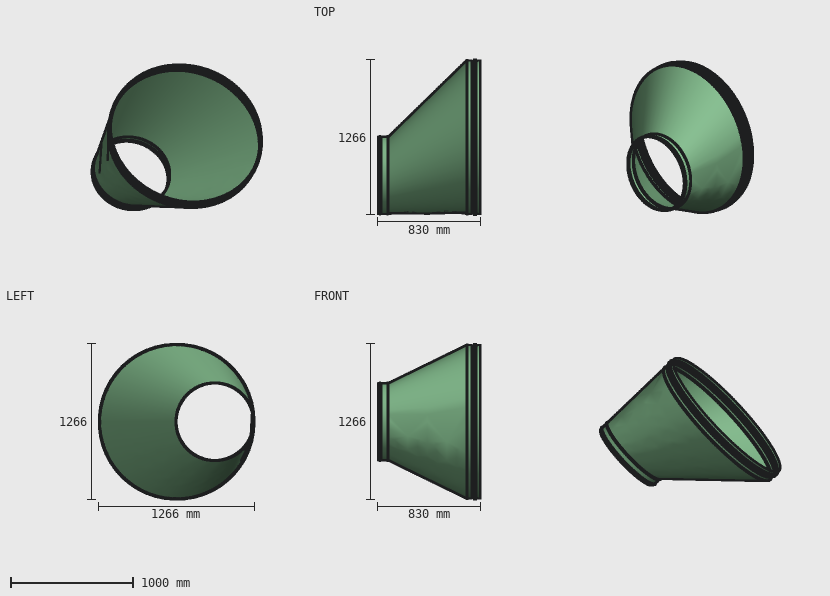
import cadquery as cq

LENGTH = 830.0
SHEET = 0.8
SMALL_RADIUS = 629.0 / 2
LARGE_RADIUS = 1249.0 / 2
LARGE_AXIS_Y = 0.0
SMALL_AXIS_Y = LARGE_AXIS_Y - (LARGE_RADIUS - SMALL_RADIUS)

CONE_START = 84.0
CONE_END = 719.0

SMALL_BEAD_START = 75.0
SMALL_BEAD_WIDTH = 1.9
SMALL_BEAD_RADIUS = 639.0 / 2
LARGE_BEAD_START = 723.0
LARGE_BEAD_WIDTH = 5.0
LARGE_BEAD_RADIUS = 1257.0 / 2

SMALL_SEAT_RADIUS = 624.0 / 2
SMALL_SEAT_END = 23.0
SMALL_STEP_LENGTH = 4.0
END_RING_START = 3.0
END_RING_WIDTH = 9.0
END_RING_ROUNDING = 1.9
SMALL_SEAL_WIDTH = 5.0
SMALL_SEAL_RADIUS = 625.0 / 2
SMALL_LIP_RADIUS = 639.0 / 2
SMALL_LIP_START = 14.0

LARGE_GROOVE_RADIUS = 1237.0 / 2
LARGE_GROOVE_START = 760.0
LARGE_GROOVE_END = 801.0
LARGE_STEP_LENGTH = 3.0
LARGE_SEAL_START = 775.0
LARGE_SEAL_WIDTH = 24.0
LARGE_SEAL_RADIUS = 1239.0 / 2
LARGE_LIP_RADIUS = 633.0
LARGE_LIP_STARTS = (777.0, 795.0)
LIP_WIDTH = 1.9


def revolved_ring(profile, axis_y):
    """Turn a closed profile of (x, radius) points about the X-parallel axis at axis_y."""
    points = [(x, axis_y - radius) for x, radius in profile]
    return cq.Workplane("XY").polyline(points).close().revolve(360, (0, axis_y), (1, axis_y))


def tube(start, width, inner_radius, outer_radius, axis_y):
    end = start + width
    profile = [(start, inner_radius), (end, inner_radius), (end, outer_radius), (start, outer_radius)]
    return revolved_ring(profile, axis_y)


def sheet_ring(outer_line, axis_y):
    """Sheet of constant radial thickness whose outer side follows the (x, radius) points."""
    inner_line = [(x, radius - SHEET) for x, radius in reversed(outer_line)]
    return revolved_ring(outer_line + inner_line, axis_y)


def make_cone():
    def oblique_cone(inset):
        return (
            cq.Workplane("YZ", origin=(CONE_START, 0, 0))
            .center(SMALL_AXIS_Y, 0)
            .circle(SMALL_RADIUS - inset)
            .workplane(offset=CONE_END - CONE_START)
            .center(LARGE_AXIS_Y - SMALL_AXIS_Y, 0)
            .circle(LARGE_RADIUS - inset)
            .loft(ruled=True)
        )

    return oblique_cone(0).cut(oblique_cone(SHEET))


def make_small_collar():
    outer_line = [
        (0, SMALL_SEAT_RADIUS),
        (SMALL_SEAT_END, SMALL_SEAT_RADIUS),
        (SMALL_SEAT_END + SMALL_STEP_LENGTH, SMALL_RADIUS),
        (CONE_START, SMALL_RADIUS),
    ]
    bead = tube(
        SMALL_BEAD_START, SMALL_BEAD_WIDTH, SMALL_RADIUS - SHEET, SMALL_BEAD_RADIUS, SMALL_AXIS_Y
    )
    return sheet_ring(outer_line, SMALL_AXIS_Y).union(bead)


def make_end_ring():
    ring = tube(END_RING_START, END_RING_WIDTH, SMALL_SEAT_RADIUS, SMALL_RADIUS, SMALL_AXIS_Y)
    outer_rims = ring.edges(cq.selectors.RadiusNthSelector(-1))
    return outer_rims.fillet(END_RING_ROUNDING)


def make_small_seal():
    seal_start = END_RING_START + END_RING_WIDTH
    base = tube(seal_start, SMALL_SEAL_WIDTH, SMALL_SEAT_RADIUS, SMALL_SEAL_RADIUS, SMALL_AXIS_Y)
    lip = tube(SMALL_LIP_START, LIP_WIDTH, SMALL_SEAT_RADIUS, SMALL_LIP_RADIUS, SMALL_AXIS_Y)
    return base.union(lip)


def make_large_collar():
    outer_line = [
        (CONE_END, LARGE_RADIUS),
        (LARGE_GROOVE_START, LARGE_RADIUS),
        (LARGE_GROOVE_START + LARGE_STEP_LENGTH, LARGE_GROOVE_RADIUS),
        (LARGE_GROOVE_END - LARGE_STEP_LENGTH, LARGE_GROOVE_RADIUS),
        (LARGE_GROOVE_END, LARGE_RADIUS),
        (LENGTH, LARGE_RADIUS),
    ]
    bead = tube(
        LARGE_BEAD_START, LARGE_BEAD_WIDTH, LARGE_RADIUS - SHEET, LARGE_BEAD_RADIUS, LARGE_AXIS_Y
    )
    return sheet_ring(outer_line, LARGE_AXIS_Y).union(bead)


def make_large_seal():
    seal = tube(
        LARGE_SEAL_START, LARGE_SEAL_WIDTH, LARGE_GROOVE_RADIUS, LARGE_SEAL_RADIUS, LARGE_AXIS_Y
    )
    for lip_start in LARGE_LIP_STARTS:
        seal = seal.union(
            tube(lip_start, LIP_WIDTH, LARGE_GROOVE_RADIUS, LARGE_LIP_RADIUS, LARGE_AXIS_Y)
        )
    return seal


cone = make_cone()
small_collar = make_small_collar()
end_ring = make_end_ring()
small_seal = make_small_seal()
large_collar = make_large_collar()
large_seal = make_large_seal()

result = cq.Compound.makeCompound(
    [
        cone.val(),
        small_collar.val(),
        end_ring.val(),
        small_seal.val(),
        large_collar.val(),
        large_seal.val(),
    ]
)